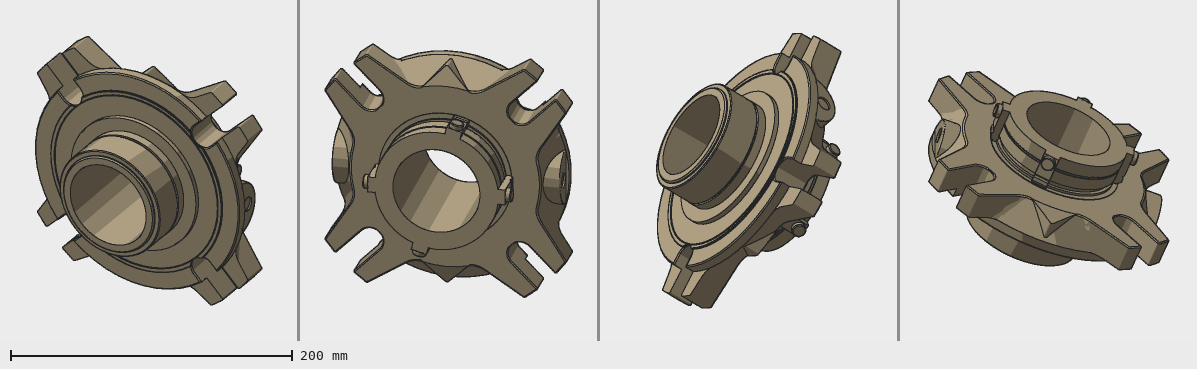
import cadquery as cq
import math


disc_radius = 85.66
disc_front = -7.5
disc_edge_chamfer = 0.9
body_front_radius = 85.5
body_back = 19.7
body_back_radius = 69.5
body_back_chamfer = 0.9

lug_angles = (45, 135, 225, 315)
slot_half_width = 9.2
slot_end_center = 77.5
slot_mouth = 107.4
lug_tip_inner = 104.8
lug_tip_outer = 103.2
lug_tip_half_width = 21.8
lug_root = 52.8
lug_root_half_width = 33.0
lug_root_fillet = 8.8
lug_corner_fillet = 1.2

face_front = -8.8
face_radius = 71.8
face_chamfer = 0.5
joint_radius = 68.1
joint_width = 0.5
joint_depth = 0.5

boss_front = -12.3
boss_radius = 104.8 / 2
sleeve_radius = 84.0 / 2
sleeve_root_radius = 84.3 / 2
sleeve_chamfer = 0.7
sleeve_front = -44.0
sleeve_groove_front = -20.5
sleeve_groove_back = -19.0
sleeve_groove_radius = 81 / 2
tip_radius = 76.2 / 2
tip_front = -46.0
tip_chamfer = 1.0
bore_radius = 63.5 / 2

seat_radius = 48.8
seat_back = 20.2
lip_radius = 44.9
lip_back = 22.0
neck_radius = 84.5 / 2
front_collar_front = 26.0
front_collar_radius = 90.0 / 2
front_collar_back = 35.0
gap_radius = 88.4 / 2
back_collar_front = 36.8
back_collar_radius = 90.3 / 2
back_end = 46.7

clip_angles = (0, 105, 180, 285)
clip_width = 11.5
clip_inner = 44.7
clip_outer = 50.2
clip_front = 20.5
clip_hook_inner = 43.7
clip_hook_position = 23.6
clip_hook_half_height = 1.2
clip_nose_chamfer = 2.8
clip_notch_position = 27.5
clip_notch_half_width = 1.2
clip_notch_depth = 1.0
screw_radius = 10.0 / 2
screw_top = 54.0
screw_chamfer = 0.7

port_angles = (0, 180)
port_face = 83.3
port_boss_radius = 21.1
port_boss_center = -3.2
port_boss_fillet = 0.7
port_hole_radius = 11.0 / 2
port_hole_center = 7.4
port_hole_depth = 1.4

ridge_angles = (90, 270)
ridge_peak = 83.6
ridge_root = 63.4
ridge_peak_fillet = 1.8
ridge_end_start = 14.8


def revolve(points):
    """Turn an outline of (radius, y) points about the Y axis."""
    return cq.Workplane("XY").polyline(points).close().revolve(360, (0, 0, 0), (0, 1, 0))


def turn(shape, angle):
    """Turn a shape made on the +X side to an angle in the XZ plane (90 is +Z)."""
    return shape.rotate((0, 0, 0), (0, 1, 0), -angle)


def extrude_back(sketch_points, start, end):
    """Extrude an outline of (x, z) points from y = start to y = end."""
    plane = cq.Plane(origin=(0, start, 0), xDir=(1, 0, 0), normal=(0, -1, 0))
    return cq.Workplane(plane).polyline(sketch_points).close().extrude(start - end)


def slot(start, end):
    """Open-ended radial slot along +X with a round inner end."""
    plane = cq.Plane(origin=(0, start, 0), xDir=(1, 0, 0), normal=(0, -1, 0))
    return (
        cq.Workplane(plane)
        .moveTo(slot_mouth, slot_half_width)
        .lineTo(slot_end_center, slot_half_width)
        .threePointArc((slot_end_center - slot_half_width, 0), (slot_end_center, -slot_half_width))
        .lineTo(slot_mouth, -slot_half_width)
        .close()
        .extrude(start - end)
    )


def lug_pair():
    """Both lugs beside one slot, still joined across the slot."""
    points = [
        (lug_root, -lug_root_half_width),
        (lug_tip_outer, -lug_tip_half_width),
        (lug_tip_inner, -slot_half_width),
        (lug_tip_inner, slot_half_width),
        (lug_tip_outer, lug_tip_half_width),
        (lug_root, lug_root_half_width),
    ]
    return extrude_back(points, 0, body_back)


def make_body():
    """Tapered flange body with filleted, slotted lugs."""
    body = revolve([(0, 0), (body_front_radius, 0), (body_back_radius, body_back), (0, body_back)])
    for angle in lug_angles:
        body = body.union(turn(lug_pair(), angle))

    body = body.edges("%HYPERBOLA").fillet(lug_root_fillet)
    for angle in lug_angles:
        body = body.cut(turn(slot(0, body_back), angle))
    body = body.edges("|Y").fillet(lug_corner_fillet)
    return body.faces(">Y").edges().chamfer(body_back_chamfer)


def make_disc():
    """Slotted front disc with broken front edges."""
    disc = revolve([(0, disc_front), (disc_radius, disc_front), (disc_radius, 0), (0, 0)])
    for angle in lug_angles:
        disc = disc.cut(turn(slot(disc_front, 0), angle))
    return disc.faces("<Y").edges().chamfer(disc_edge_chamfer)


def make_turned_front():
    """Sealing face with its joint groove, boss and sleeve."""
    face = revolve([
        (0, face_front),
        (joint_radius, face_front),
        (joint_radius, face_front + joint_depth),
        (joint_radius + joint_width, face_front + joint_depth),
        (joint_radius + joint_width, face_front),
        (face_radius - face_chamfer, face_front),
        (face_radius, face_front + face_chamfer),
        (face_radius, disc_front),
        (0, disc_front),
    ])
    for angle in lug_angles:
        face = face.cut(turn(slot(face_front, disc_front), angle))
    sleeve = revolve([
        (0, tip_front),
        (tip_radius - tip_chamfer, tip_front),
        (tip_radius, tip_front + tip_chamfer),
        (tip_radius, sleeve_front),
        (sleeve_radius - sleeve_chamfer, sleeve_front),
        (sleeve_radius, sleeve_front + sleeve_chamfer),
        (sleeve_radius, sleeve_groove_front),
        (sleeve_groove_radius, sleeve_groove_front),
        (sleeve_groove_radius, sleeve_groove_back),
        (sleeve_root_radius, sleeve_groove_back),
        (sleeve_root_radius, boss_front),
        (boss_radius, boss_front),
        (boss_radius, face_front),
        (0, face_front),
    ])
    return face.union(sleeve)


def make_collars():
    """Stepped neck and the two collars behind the flange."""
    return revolve([
        (0, body_back),
        (seat_radius, body_back),
        (seat_radius, seat_back),
        (lip_radius, seat_back),
        (lip_radius, lip_back),
        (neck_radius, lip_back),
        (neck_radius, front_collar_front),
        (front_collar_radius, front_collar_front),
        (front_collar_radius, front_collar_back),
        (gap_radius, front_collar_back),
        (gap_radius, back_collar_front),
        (back_collar_radius, back_collar_front),
        (back_collar_radius, back_end),
        (0, back_end),
    ])


def make_clip():
    """Setting clip on +X with a notch, a hooked nose and a round screw head."""
    profile = [
        (clip_inner, back_end),
        (clip_outer, back_end),
        (clip_outer, clip_notch_position + clip_notch_half_width),
        (clip_outer - clip_notch_depth, clip_notch_position),
        (clip_outer, clip_notch_position - clip_notch_half_width),
        (clip_outer, clip_front + clip_nose_chamfer),
        (clip_outer - clip_nose_chamfer, clip_front),
        (clip_inner, clip_front),
        (clip_inner, clip_hook_position - clip_hook_half_height),
        (clip_hook_inner, clip_hook_position),
        (clip_inner, clip_hook_position + clip_hook_half_height),
    ]
    clip = cq.Workplane("XY").polyline(profile).close().extrude(clip_width / 2, both=True)
    head = (
        cq.Workplane("YZ", origin=(clip_outer, back_end - screw_radius, 0))
        .circle(screw_radius)
        .extrude(screw_top - clip_outer)
        .faces(">X")
        .chamfer(screw_chamfer)
    )
    return clip.union(head)


def make_port_boss():
    """Round boss on +X, limited to the depth of the flange body."""
    boss = (
        cq.Workplane("YZ", origin=(0, port_boss_center, 0))
        .circle(port_boss_radius)
        .extrude(port_face)
        .faces(">X")
        .edges()
        .fillet(port_boss_fillet)
    )
    depth_limit = cq.Workplane("XY").box(
        port_face, body_back, 2 * port_boss_radius, centered=(False, False, True)
    )
    return boss.intersect(depth_limit)


def make_port_spotface():
    """Material standing proud of the boss face, between the disc and the body back."""
    return cq.Workplane("XY", origin=(port_face, 0, 0)).box(
        disc_radius - port_face, body_back, 2 * port_boss_radius, centered=(False, False, True)
    )


def make_port_hole():
    """Blind port drilled into the boss on +X."""
    return (
        cq.Workplane("YZ", origin=(port_face - port_hole_depth, port_hole_center, 0))
        .circle(port_hole_radius)
        .extrude(port_hole_depth)
    )


def make_ridge():
    """Right-angled ridge with a rounded peak on +X, cut off by a cone at its back."""
    sharp_peak = ridge_peak + ridge_peak_fillet * (math.sqrt(2) - 1)
    half_width = sharp_peak - ridge_root
    ridge = extrude_back(
        [(ridge_root, -half_width), (sharp_peak, 0), (ridge_root, half_width)], 0, body_back
    )
    ridge = ridge.edges("|Y").edges(">X").fillet(ridge_peak_fillet)
    envelope = revolve([
        (0, 0),
        (ridge_peak, 0),
        (ridge_peak, ridge_end_start),
        (body_back_radius, body_back),
        (0, body_back),
    ])
    return ridge.intersect(envelope)


core = revolve([
    (0, face_front),
    (joint_radius, face_front),
    (joint_radius, body_back),
    (0, body_back),
])
bore = revolve([(0, tip_front), (bore_radius, tip_front), (bore_radius, back_end), (0, back_end)])

result = make_body().union(make_disc()).union(core)
result = result.union(make_turned_front()).union(make_collars())
for angle in port_angles:
    result = result.union(turn(make_port_boss(), angle))
    result = result.cut(turn(make_port_spotface(), angle))
    result = result.cut(turn(make_port_hole(), angle))
for angle in ridge_angles:
    result = result.union(turn(make_ridge(), angle))
for angle in clip_angles:
    result = result.union(turn(make_clip(), angle))
result = result.cut(bore)